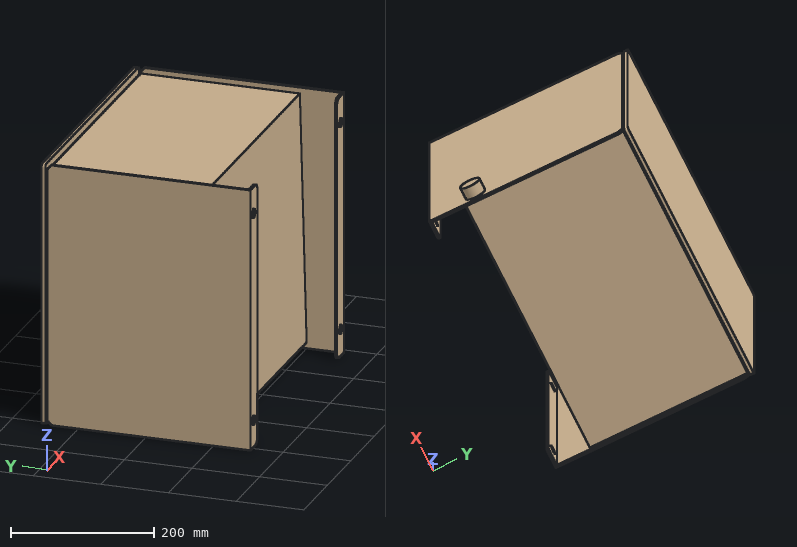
import cadquery as cq

WIDTH = 400.0
HEIGHT = 390.0
DEPTH = 309.0

PANEL_THICKNESS = 6.0
PANEL_CORNER_RADIUS = 5.0

SPACER_THICKNESS = 3.0
SPACER_HEIGHT = 366.0

SHEET = 3.0
FLANGE_WIDTH = 30.0
WALL_CORNER_CHAMFER = 6.0
FLANGE_CORNER_RADIUS = 8.0
MOUNT_HOLE_DIAMETER = 13.0
MOUNT_HOLE_EDGE_Z = 40.0

BODY_INSET_Z = 9.0
BODY_FRONT_TOP = 64.5
BODY_FRONT_BOTTOM = 54.5

OUTLET_DIAMETER = 30.0
OUTLET_LENGTH = 18.0
OUTLET_Y = 72.0
OUTLET_ABOVE_BOTTOM = 26.0

INNER_WIDTH = WIDTH - 2 * SHEET
PANEL_FRONT = DEPTH - PANEL_THICKNESS
PLATE_BACK = PANEL_FRONT - SPACER_THICKNESS
BODY_HALF_HEIGHT = HEIGHT / 2 - BODY_INSET_Z


def block(x_size, z_size, y_start, y_end):
    """Box centred on X and Z that spans y_start to y_end."""
    return cq.Workplane("XY").box(x_size, y_end - y_start, z_size).translate((0, (y_start + y_end) / 2, 0))


def make_rear_panel():
    panel = block(WIDTH, HEIGHT, PANEL_FRONT, DEPTH)
    return panel.edges("|Y").fillet(PANEL_CORNER_RADIUS)


def make_spacer():
    return block(INNER_WIDTH, SPACER_HEIGHT, PLATE_BACK, PANEL_FRONT)


def make_body():
    profile = [
        (BODY_FRONT_BOTTOM, -BODY_HALF_HEIGHT),
        (PLATE_BACK, -BODY_HALF_HEIGHT),
        (PLATE_BACK, BODY_HALF_HEIGHT),
        (BODY_FRONT_TOP, BODY_HALF_HEIGHT),
    ]
    return cq.Workplane("YZ").polyline(profile).close().extrude(INNER_WIDTH / 2, both=True)


def make_left_plate():
    """L-shaped sheet: a side wall and a front flange with two mounting holes."""
    wall = block(SHEET, HEIGHT, 0, PLATE_BACK).edges("|X and >Y").chamfer(WALL_CORNER_CHAMFER)
    wall = wall.translate(((SHEET - WIDTH) / 2, 0, 0))

    flange = block(FLANGE_WIDTH, HEIGHT, 0, SHEET).edges("|Y and >X").fillet(FLANGE_CORNER_RADIUS)
    flange_centre_x = (FLANGE_WIDTH - WIDTH) / 2
    flange = flange.translate((flange_centre_x, 0, 0))

    hole_z = HEIGHT / 2 - MOUNT_HOLE_EDGE_Z
    holes = (
        cq.Workplane("XZ")
        .pushPoints([(flange_centre_x, -hole_z), (flange_centre_x, hole_z)])
        .circle(MOUNT_HOLE_DIAMETER / 2)
        .extrude(-SHEET)
    )
    return wall.union(flange).cut(holes)


def make_outlet():
    return (
        cq.Workplane("YZ", origin=(WIDTH / 2, OUTLET_Y, OUTLET_ABOVE_BOTTOM - HEIGHT / 2))
        .circle(OUTLET_DIAMETER / 2)
        .extrude(OUTLET_LENGTH)
    )


left_plate = make_left_plate()
right_plate = left_plate.mirror("YZ")

result = (
    make_body()
    .union(make_spacer())
    .union(make_rear_panel())
    .union(left_plate)
    .union(right_plate)
    .union(make_outlet())
)